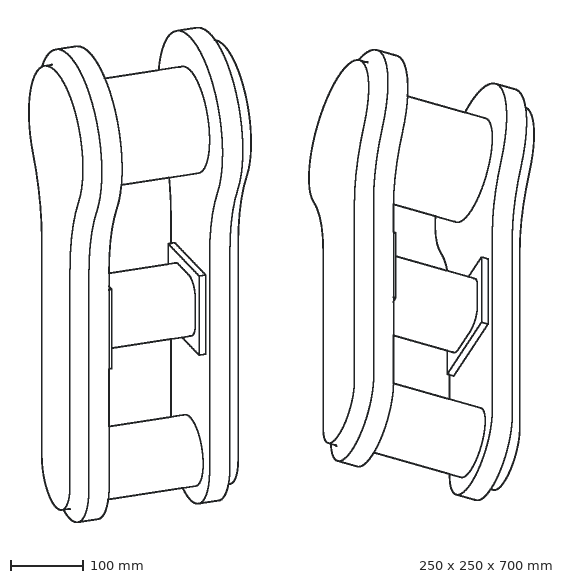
import cadquery as cq
import math

length = 700.0
width_across_plates = 250.0
head_diameter = 250.0
shank_width = 150.0
neck_radius = 200.0

plate_thickness = 30.0
pad_height = 20.0
pad_inset = 20.0
pad_fillet = 10.0

head_pin_diameter = shank_width
foot_pin_diameter = 100.0
bar_size = 90.0
bar_corner_radius = 25.0
bar_drop = 270.0
flange_size = 120.0
flange_thickness = 10.0

head_radius = head_diameter / 2
foot_radius = shank_width / 2
pin_spacing = length - head_radius - foot_radius
outer_y = width_across_plates / 2
plate_outer_y = outer_y - pad_height
plate_inner_y = plate_outer_y - plate_thickness

neck_center_x = foot_radius + neck_radius
neck_drop = math.sqrt((head_radius + neck_radius) ** 2 - neck_center_x ** 2)
neck_angle = math.atan2(neck_drop, neck_center_x)


def plane_at(y, z=0):
    """Plane facing -Y, with its local axes along X and Z."""
    return cq.Workplane("XZ", origin=(0, y, z))


def link_outline(workplane, inset):
    """Keyhole-shaped link outline, moved inward by inset."""
    head = head_radius - inset
    foot = foot_radius - inset
    neck = neck_radius + inset
    join_x = head * math.cos(neck_angle)
    join_z = -head * math.sin(neck_angle)
    neck_mid_x = neck_center_x - neck * math.cos(neck_angle / 2)
    neck_mid_z = -neck_drop + neck * math.sin(neck_angle / 2)
    return (
        workplane.moveTo(-join_x, join_z)
        .threePointArc((0, head), (join_x, join_z))
        .threePointArc((neck_mid_x, neck_mid_z), (foot, -neck_drop))
        .lineTo(foot, -pin_spacing)
        .threePointArc((0, -pin_spacing - foot), (-foot, -pin_spacing))
        .lineTo(-foot, -neck_drop)
        .threePointArc((-neck_mid_x, neck_mid_z), (-join_x, join_z))
        .close()
    )


def front_plate():
    """Plate on the -Y side, its pad blended in by a concave fillet."""
    plate = link_outline(plane_at(-plate_inner_y), 0).extrude(plate_thickness)
    pad = link_outline(plane_at(-plate_outer_y), pad_inset).extrude(pad_height)
    solid = plate.union(pad).solids().val()
    ledge = cq.Workplane(solid).faces("<Y[1]").val()
    pad_foot_edges = ledge.innerWires()[0].Edges()
    return cq.Workplane(solid.fillet(pad_fillet, pad_foot_edges))


def pin(diameter, z):
    """Round pin spanning the gap between the plates."""
    return plane_at(plate_inner_y, z).circle(diameter / 2).extrude(2 * plate_inner_y)


def flanged_bar():
    """Rounded square bar with a square flange against each plate."""
    bar = (
        plane_at(plate_inner_y, -bar_drop)
        .rect(bar_size, bar_size)
        .extrude(2 * plate_inner_y)
        .edges("|Y")
        .fillet(bar_corner_radius)
    )
    for flange_y in (plate_inner_y, -plate_inner_y + flange_thickness):
        flange = plane_at(flange_y, -bar_drop).rect(flange_size, flange_size).extrude(flange_thickness)
        bar = bar.union(flange)
    return bar


plate = front_plate()
link = (
    plate.union(plate.mirror("XZ"))
    .union(pin(head_pin_diameter, 0))
    .union(pin(foot_pin_diameter, -pin_spacing))
    .union(flanged_bar())
)
result = link.solids()